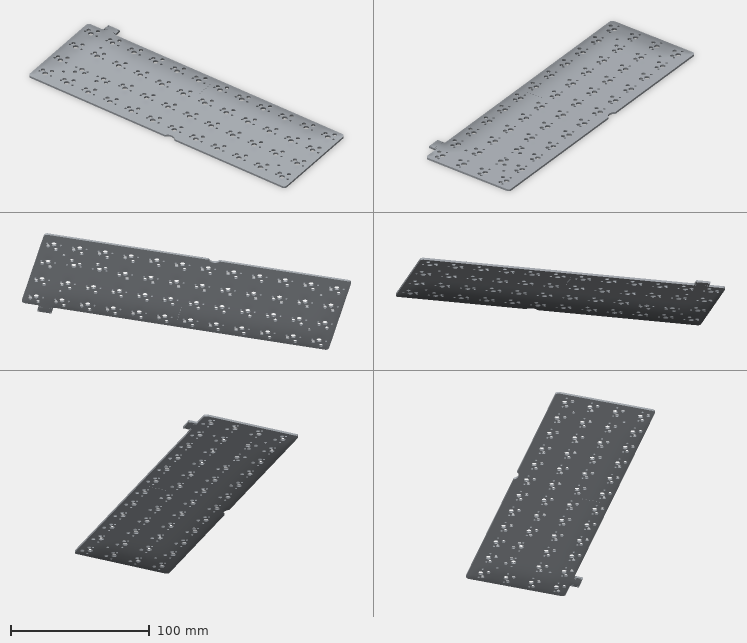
import cadquery as cq

COLUMNS = 12
ROWS = 4
KEY_PITCH = 19.05

THICKNESS = 1.6
BOARD_LENGTH = 227.41
OVERALL_WIDTH = 81.56
EDGE_MARGIN = (BOARD_LENGTH - (COLUMNS - 1) * KEY_PITCH) / 2
BOARD_WIDTH = (ROWS - 1) * KEY_PITCH + 2 * EDGE_MARGIN
BOARD_CORNER_RADIUS = 2.38
FRONT_EDGE_Y = -OVERALL_WIDTH / 2
BACK_EDGE_Y = FRONT_EDGE_Y + BOARD_WIDTH
BOARD_CENTER_Y = FRONT_EDGE_Y + BOARD_WIDTH / 2

TAB_X = -5 * KEY_PITCH
TAB_WIDTH = 10.4
TAB_END_Y = OVERALL_WIDTH / 2
TAB_ROOT_RADIUS = 1.0

SHIELD_SLOT_X = 4.32
SHIELD_SLOT_WIDTH = 0.6
OUTER_SHIELD_SLOT_LENGTH = 1.2
INNER_SHIELD_SLOT_LENGTH = 1.7
SHIELD_SLOT_SPACING_Y = 4.4
OUTER_SHIELD_SLOT_INSET = 1.05
OUTER_SHIELD_SLOT_Y = TAB_END_Y - OUTER_SHIELD_SLOT_INSET
INNER_SHIELD_SLOT_Y = OUTER_SHIELD_SLOT_Y - SHIELD_SLOT_SPACING_Y
USB_PEG_X = 2.89
USB_PEG_OFFSET_Y = 0.505
USB_PEG_Y = INNER_SHIELD_SLOT_Y + USB_PEG_OFFSET_Y
USB_PEG_DIAMETER = 0.65

NOTCH_X = 11.85
NOTCH_WIDTH = 8.4
NOTCH_DEPTH = 2.3

STEM_DIAMETER = 3.99
SIDE_PIN_DIAMETER = 1.75
SIDE_PIN_X = 5.08
CONTACT_DIAMETER = 3.0
CONTACT_POINTS = [(-3.81, 2.54), (2.54, 5.08)]
TURNED_SWITCHES = [(1, 1), (2, 1)]

HEADER_PINS = 6
HEADER_PITCH = 2.54
HEADER_X = 0
HEADER_DIAMETER = 0.81
HEADER_CENTER_OFFSET = 5.4

MOUNT_DIAMETER = 2.2
MOUNT_X = 5 * KEY_PITCH
BACK_LEFT_MOUNT_X = -89.3
FRONT_MOUNT_ROW = 0.5
BACK_MOUNT_ROW = 2.5


def column_x(column):
    return (column - (COLUMNS - 1) / 2) * KEY_PITCH


def row_y(row):
    return BOARD_CENTER_Y + (row - (ROWS - 1) / 2) * KEY_PITCH


def drill(board, points, diameter):
    cutters = cq.Workplane("XY").pushPoints(points).circle(diameter / 2).extrude(THICKNESS)
    return board.cut(cutters.translate((0, 0, -THICKNESS / 2)))


def make_plate():
    plate = (
        cq.Workplane("XY")
        .center(0, BOARD_CENTER_Y)
        .box(BOARD_LENGTH, BOARD_WIDTH, THICKNESS)
        .edges("|Z")
        .fillet(BOARD_CORNER_RADIUS)
    )
    tab_length = TAB_END_Y - BOARD_CENTER_Y
    tab = cq.Workplane("XY").box(TAB_WIDTH, tab_length, THICKNESS)
    plate = plate.union(tab.translate((TAB_X, TAB_END_Y - tab_length / 2, 0)))
    root_edges = cq.selectors.BoxSelector(
        (TAB_X - TAB_WIDTH, BACK_EDGE_Y - TAB_ROOT_RADIUS, -THICKNESS),
        (TAB_X + TAB_WIDTH, BACK_EDGE_Y + TAB_ROOT_RADIUS, THICKNESS),
    )
    return plate.edges("|Z").edges(root_edges).fillet(TAB_ROOT_RADIUS)


def cut_notch(board):
    notch = (
        cq.Workplane("XY", origin=(NOTCH_X, FRONT_EDGE_Y, -THICKNESS / 2))
        .moveTo(-NOTCH_WIDTH / 2, 0)
        .threePointArc((0, NOTCH_DEPTH), (NOTCH_WIDTH / 2, 0))
        .close()
        .extrude(THICKNESS)
    )
    return board.cut(notch)


def cut_switches(board):
    stems = []
    side_pins = []
    contacts = []
    for column in range(COLUMNS):
        for row in range(ROWS):
            x = column_x(column)
            y = row_y(row)
            turn = -1 if (column, row) in TURNED_SWITCHES else 1
            stems.append((x, y))
            side_pins += [(x - SIDE_PIN_X, y), (x + SIDE_PIN_X, y)]
            contacts += [(x + turn * dx, y + turn * dy) for dx, dy in CONTACT_POINTS]
    board = drill(board, stems, STEM_DIAMETER)
    board = drill(board, side_pins, SIDE_PIN_DIAMETER)
    return drill(board, contacts, CONTACT_DIAMETER)


def cut_usb_footprint(board):
    slot_rows = [
        (OUTER_SHIELD_SLOT_Y, OUTER_SHIELD_SLOT_LENGTH),
        (INNER_SHIELD_SLOT_Y, INNER_SHIELD_SLOT_LENGTH),
    ]
    for y, length in slot_rows:
        slots = (
            cq.Workplane("XY", origin=(0, 0, -THICKNESS / 2))
            .pushPoints([(TAB_X - SHIELD_SLOT_X, y), (TAB_X + SHIELD_SLOT_X, y)])
            .slot2D(length, SHIELD_SLOT_WIDTH, 90)
            .extrude(THICKNESS)
        )
        board = board.cut(slots)
    pegs = [(TAB_X - USB_PEG_X, USB_PEG_Y), (TAB_X + USB_PEG_X, USB_PEG_Y)]
    return drill(board, pegs, USB_PEG_DIAMETER)


def cut_header(board):
    center_y = row_y(ROWS - 1) - HEADER_CENTER_OFFSET
    pins = []
    for pin in range(HEADER_PINS):
        pins.append((HEADER_X, center_y + (pin - (HEADER_PINS - 1) / 2) * HEADER_PITCH))
    return drill(board, pins, HEADER_DIAMETER)


def cut_mounting_holes(board):
    front_y = row_y(FRONT_MOUNT_ROW)
    back_y = row_y(BACK_MOUNT_ROW)
    points = [
        (-MOUNT_X, front_y),
        (MOUNT_X, front_y),
        (BACK_LEFT_MOUNT_X, back_y),
        (MOUNT_X, back_y),
    ]
    return drill(board, points, MOUNT_DIAMETER)


result = make_plate()
result = cut_notch(result)
result = cut_switches(result)
result = cut_usb_footprint(result)
result = cut_header(result)
result = cut_mounting_holes(result)